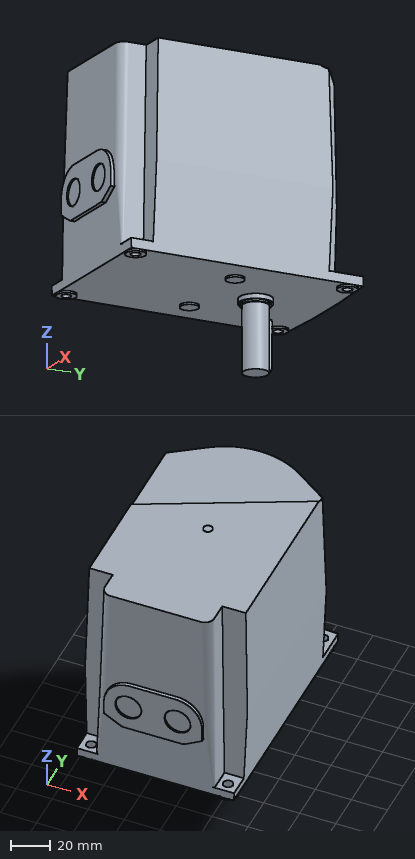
import cadquery as cq
import math


total_height = 155.0
shaft_length = 39.8
top_z = total_height - shaft_length
parting_z = 49.5
plate_thickness = 5.3

parting_half_width = 45.03
parting_front_y = -95.8
parting_shoulder_y = 20.8
parting_rear_y = 40.9
draft_inset = 1.5
rear_radius = 45.0

plate_corner_y = 39.0
plate_rear_y = parting_rear_y
hole_x = 38.0
hole_ys = (-89.0, 32.9)
hole_diameter = 5.3
corner_pad_diameter = 10.8
middle_pad_diameter = 9.9
middle_pad_x = 25.0
middle_pad_y = -25.0
pad_height = 1.1

notch_levels = (
    (plate_thickness, 32.9, -81.8, 1.0),
    (parting_z, 31.8, -80.6, 4.8),
    (top_z, 30.4, -78.9, 5.3),
)
notch_outer = 124.0

step_depth = 1.4
step_width = 4.3
step_angle = 24.8
step_foot_y = -0.8
step_reach = 93.0

top_recess_diameter = 5.0
top_recess_depth = 0.2
top_recess_y = -27.1

cover_front_y = -97.6
cover_depth = 4.6
cover_half_width = 27.1
cover_top_z = 60.8
cover_bottom_z = 31.8
cover_radius = 14.5
cover_bevel_width = 10.0
cover_bevel_height = 5.7
entry_x = 13.6
entry_z = 46.0
entry_diameter = 14.4
entry_depth = 1.0

shaft_diameter = 14.0
collar_diameter = 18.0
collar_bottom_z = -2.6
inner_collar_diameter = 16.1
inner_collar_bottom_z = -3.7
key_width = 5.0
key_top_z = -9.9
key_bottom_z = -38.1
key_outer_y = 8.2


def inset_at(z):
    """Inward draft of the outer walls at height z."""
    if z > parting_z:
        return draft_inset * (z - parting_z) / (top_z - parting_z)
    return draft_inset * (parting_z - z) / parting_z


def body_section(z):
    """Straight sides and front, rear closed by two lines tangent to an arc."""
    inset = inset_at(z)
    half_width = parting_half_width - inset
    front_y = parting_front_y + inset
    shoulder_y = parting_shoulder_y - inset
    rear_y = parting_rear_y - inset
    center_y = rear_y - rear_radius
    reach = math.hypot(half_width, shoulder_y - center_y)
    tangent_angle = math.atan2(shoulder_y - center_y, half_width) + math.acos(rear_radius / reach)
    tangent_x = rear_radius * math.cos(tangent_angle)
    tangent_y = center_y + rear_radius * math.sin(tangent_angle)
    return (
        cq.Workplane("XY", origin=(0, 0, z))
        .moveTo(-half_width, front_y)
        .lineTo(half_width, front_y)
        .lineTo(half_width, shoulder_y)
        .lineTo(tangent_x, tangent_y)
        .threePointArc((0, rear_y), (-tangent_x, tangent_y))
        .lineTo(-half_width, shoulder_y)
        .close()
        .val()
    )


def plate_section(z):
    """Rectangle with a slightly bowed rear edge, following the body draft."""
    half_width = parting_half_width - inset_at(z)
    front_y = parting_front_y + inset_at(z)
    return (
        cq.Workplane("XY", origin=(0, 0, z))
        .moveTo(-half_width, front_y)
        .lineTo(half_width, front_y)
        .lineTo(half_width, plate_corner_y)
        .threePointArc((0, plate_rear_y), (-half_width, plate_corner_y))
        .close()
        .val()
    )


def notch_section(z, wall_x, wall_y, radius):
    """Area outside the rounded nose corner at height z."""
    front_y = parting_front_y + inset_at(z)
    center_x = wall_x - radius
    center_y = front_y + radius
    diagonal = radius * math.sqrt(0.5)
    return (
        cq.Workplane("XY", origin=(0, 0, z))
        .moveTo(wall_x, wall_y)
        .lineTo(wall_x, center_y)
        .threePointArc((center_x + diagonal, center_y - diagonal), (center_x, front_y))
        .lineTo(center_x, -notch_outer)
        .lineTo(notch_outer, -notch_outer)
        .lineTo(notch_outer, wall_y)
        .close()
        .val()
    )


def ruled_loft(sections):
    return cq.Workplane(cq.Solid.makeLoft(sections, True))


def disc(x, y, diameter, z_from, z_to):
    return cq.Workplane("XY", origin=(x, y, z_from)).circle(diameter / 2).extrude(z_to - z_from)


def make_housing():
    lower = ruled_loft([body_section(0), body_section(parting_z)])
    upper = ruled_loft([body_section(parting_z), body_section(top_z)])
    housing = lower.union(upper)
    for bottom, top in zip(notch_levels, notch_levels[1:]):
        notch = ruled_loft([notch_section(*bottom), notch_section(*top)])
        housing = housing.cut(notch).cut(notch.mirror("YZ"))
    plate = ruled_loft([plate_section(0), plate_section(plate_thickness)])
    return housing.union(plate)


def make_top_step():
    """Cutter lowering the rear of the top face, with a concave foot."""
    foot_z = top_z - step_depth
    fillet_radius = (step_width**2 + step_depth**2) / (2 * step_depth)
    mid_angle = math.asin(step_width / fillet_radius) / 2
    mid_point = (
        -fillet_radius * math.sin(mid_angle),
        foot_z + fillet_radius * (1 - math.cos(mid_angle)),
    )
    return (
        cq.Workplane("YZ")
        .moveTo(step_reach, foot_z)
        .lineTo(0, foot_z)
        .threePointArc(mid_point, (-step_width, top_z))
        .lineTo(step_reach, top_z)
        .close()
        .extrude(step_reach, both=True)
        .rotate((0, 0, 0), (0, 0, 1), step_angle)
        .translate((0, step_foot_y, 0))
    )


def make_cover():
    side_z = cover_top_z - cover_radius
    arc_x = cover_half_width - cover_radius
    diagonal = cover_radius * math.sqrt(0.5)
    bevel_x = cover_half_width - cover_bevel_width
    bevel_z = cover_bottom_z + cover_bevel_height
    return (
        cq.Workplane("XZ", origin=(0, cover_front_y, 0))
        .moveTo(-bevel_x, cover_bottom_z)
        .lineTo(bevel_x, cover_bottom_z)
        .lineTo(cover_half_width, bevel_z)
        .lineTo(cover_half_width, side_z)
        .threePointArc((arc_x + diagonal, side_z + diagonal), (arc_x, cover_top_z))
        .lineTo(-arc_x, cover_top_z)
        .threePointArc((-arc_x - diagonal, side_z + diagonal), (-cover_half_width, side_z))
        .lineTo(-cover_half_width, bevel_z)
        .close()
        .extrude(-cover_depth)
    )


def make_entry_recesses():
    return (
        cq.Workplane("XZ", origin=(0, cover_front_y, 0))
        .pushPoints([(-entry_x, entry_z), (entry_x, entry_z)])
        .circle(entry_diameter / 2)
        .extrude(-entry_depth)
    )


def make_shaft():
    shaft = disc(0, 0, shaft_diameter, -shaft_length, plate_thickness)
    shaft = shaft.union(disc(0, 0, inner_collar_diameter, inner_collar_bottom_z, plate_thickness))
    shaft = shaft.union(disc(0, 0, collar_diameter, collar_bottom_z, plate_thickness))
    key = (
        cq.Workplane("XZ")
        .center(0, (key_top_z + key_bottom_z) / 2)
        .slot2D(key_top_z - key_bottom_z, key_width, 90)
        .extrude(-key_outer_y)
    )
    return shaft.union(key)


result = make_housing().cut(make_top_step())
result = result.cut(disc(0, top_recess_y, top_recess_diameter, top_z - top_recess_depth, top_z))
result = result.union(make_cover()).cut(make_entry_recesses())
result = result.union(make_shaft())

for side in (-1, 1):
    result = result.union(
        disc(side * middle_pad_x, middle_pad_y, middle_pad_diameter, -pad_height, plate_thickness)
    )
    for hole_y in hole_ys:
        result = result.union(disc(side * hole_x, hole_y, corner_pad_diameter, -pad_height, 0))
        result = result.cut(disc(side * hole_x, hole_y, hole_diameter, -pad_height, plate_thickness))